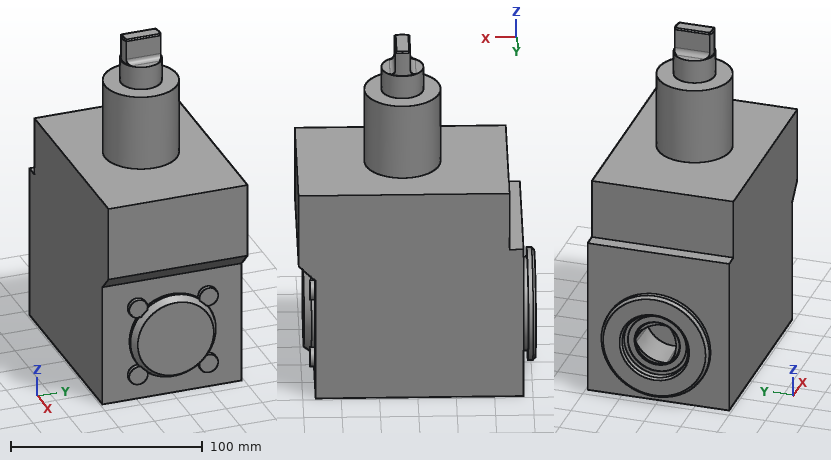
import cadquery as cq
import math

width = 77.5
height = 188.0
body_left = 6.8
body_right = 115.2
upper_left = 14.1
upper_right = 124.0
step_z = 86.1
overhang_z = 68.8
body_top = 119.0
overhang_reach = upper_right - body_right

shaft_x = 69.0
collar_diameter = 39.9
collar_top = 161.1
neck_diameter = 22.0
neck_top = 174.0
tang_diameter = 20.9
tang_thickness = 7.9
tang_fillet = 2.8
tang_chamfer = 0.8

socket_z = 34.2
flange_diameter = 59.0
flange_thickness = 4.0
flange_chamfer = 1.5
flange_neck_diameter = 49.0
recess_diameter = 36.0
recess_depth = 4.5
recess_chamfer = 1.1
seat_diameter = 32.0
seat_depth = 0.4
mouth_diameter = 25.0
mouth_chamfer = 0.5
lobe_radius = 12.2
lobe_round = 2.8
flank_radius = 10.2
lobe_count = 3
bore_depth = 18.8
bore_taper = 1.4

cover_diameter = 47.5
cover_rim = 1.7
cover_height = 5.5
cover_end_diameter = 42.3
screw_diameter = 10.3
screw_height = 2.5
screw_offset = 19.5


def face_plane(x):
    """Plane across the socket axis: local x is +Y, local y is +Z, normal is +X."""
    return cq.Workplane("YZ", origin=(x, 0, socket_z))


def revolve_about_socket(profile):
    """Turn (x, radius) points about the socket axis."""
    outline = cq.Workplane("XZ", origin=(0, 0, socket_z)).polyline(profile).close()
    return outline.revolve(360, (0, 0, 0), (1, 0, 0))


def make_housing():
    outline = [
        (body_left, 0),
        (body_right, 0),
        (body_right, overhang_z),
        (upper_right, overhang_z + overhang_reach),
        (upper_right, body_top),
        (upper_left, body_top),
        (upper_left, step_z),
        (body_left, step_z),
    ]
    return cq.Workplane("XZ").polyline(outline).close().extrude(width / 2, both=True)


def make_tang():
    """Flat tang with concave roots, trimmed to a round outline."""
    half = tang_thickness / 2
    root = half + tang_fillet
    sag = tang_fillet * (1 - math.sqrt(0.5))
    profile = (
        cq.Workplane("XZ", origin=(shaft_x, 0, neck_top))
        .moveTo(-root, 0)
        .lineTo(root, 0)
        .threePointArc((half + sag, sag), (half, tang_fillet))
        .lineTo(half, height - neck_top)
        .lineTo(-half, height - neck_top)
        .lineTo(-half, tang_fillet)
        .threePointArc((-half - sag, sag), (-root, 0))
        .close()
        .extrude(tang_diameter, both=True)
    )
    envelope = (
        cq.Workplane("XY", origin=(shaft_x, 0, neck_top))
        .circle(tang_diameter / 2)
        .extrude(height - neck_top)
    )
    return profile.intersect(envelope).faces(">Z").chamfer(tang_chamfer)


def make_shaft():
    collar = (
        cq.Workplane("XY", origin=(shaft_x, 0, body_top))
        .circle(collar_diameter / 2)
        .extrude(collar_top - body_top)
    )
    neck = (
        cq.Workplane("XY", origin=(shaft_x, 0, collar_top))
        .circle(neck_diameter / 2)
        .extrude(neck_top - collar_top)
    )
    return collar.union(neck).union(make_tang())


def make_flange():
    radius = flange_diameter / 2
    neck_radius = flange_neck_diameter / 2
    return revolve_about_socket([
        (0, 0),
        (0, radius - flange_chamfer),
        (flange_chamfer, radius),
        (flange_thickness, radius),
        (flange_thickness, neck_radius),
        (body_left, neck_radius),
        (body_left, 0),
    ])


def make_recess():
    """Chamfered recess stepping down to the mouth of the polygon bore."""
    recess_radius = recess_diameter / 2
    seat_radius = seat_diameter / 2
    mouth_radius = mouth_diameter / 2
    seat_x = recess_depth + seat_depth
    mouth_x = seat_x + mouth_chamfer
    return revolve_about_socket([
        (0, 0),
        (0, recess_radius + recess_chamfer),
        (recess_chamfer, recess_radius),
        (recess_depth, recess_radius),
        (recess_depth, seat_radius),
        (seat_x, seat_radius),
        (seat_x, mouth_radius),
        (mouth_x, mouth_radius - mouth_chamfer),
        (mouth_x, 0),
    ])


def make_polygon_bore():
    """Tapered three-lobed bore, with one rounded lobe pointing toward +Y."""
    def polar(radius, angle):
        return (radius * math.cos(angle), radius * math.sin(angle))

    pitch = 2 * math.pi / lobe_count
    mouth_x = recess_depth + seat_depth + mouth_chamfer
    outline = face_plane(mouth_x).moveTo(lobe_radius, 0)
    for lobe in range(lobe_count):
        start = lobe * pitch
        outline = outline.threePointArc(
            polar(flank_radius, start + pitch / 2),
            polar(lobe_radius, start + pitch),
        )
    bore = outline.close().extrude(bore_depth, taper=bore_taper)
    return bore.edges("not (<X or >X)").fillet(lobe_round)


def make_cover():
    cover = revolve_about_socket([
        (body_right, 0),
        (body_right, cover_diameter / 2),
        (body_right + cover_rim, cover_diameter / 2),
        (body_right + cover_height, cover_end_diameter / 2),
        (body_right + cover_height, 0),
    ])
    screws = (
        face_plane(body_right)
        .rect(2 * screw_offset, 2 * screw_offset, forConstruction=True)
        .vertices()
        .circle(screw_diameter / 2)
        .extrude(screw_height)
    )
    return cover.union(screws)


result = (
    make_housing()
    .union(make_shaft())
    .union(make_flange())
    .union(make_cover())
    .cut(make_recess())
    .cut(make_polygon_bore())
)